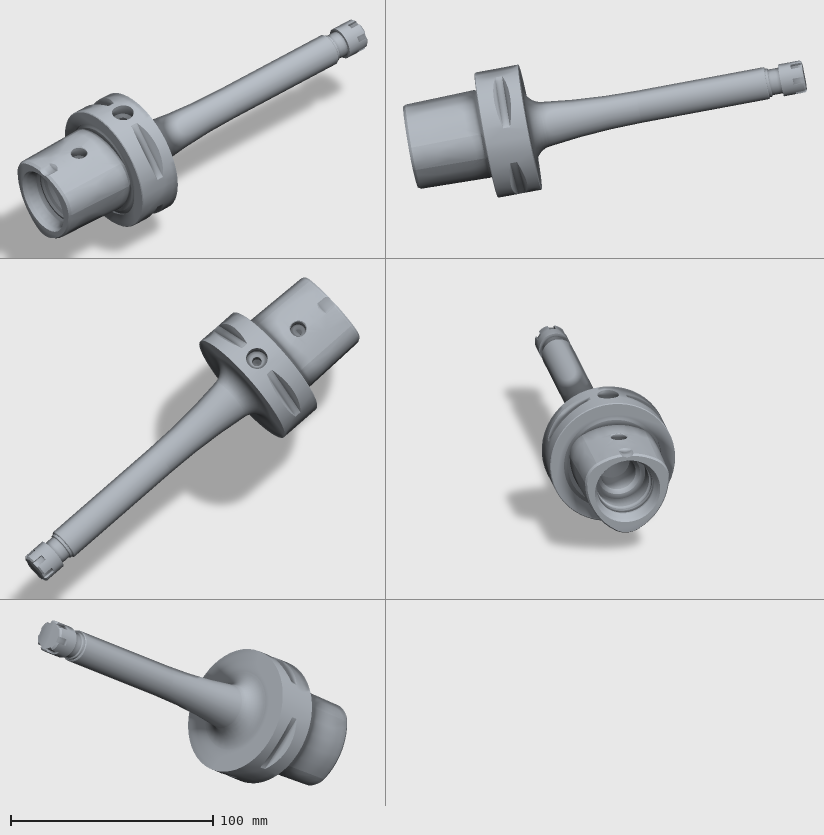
import cadquery as cq
import math


total_length = 198.0
taper_length = 38.0
nose_y = total_length - taper_length
flange_radius = 31.5
flange_length = 22.0
flange_chamfer = 0.4
shank_radius = 8.02
shank_end_y = 141.4
shank_chamfer = 0.4
flare_start_y = 76.8
flare_end_y = 29.7
flare_arc_radius = 350.0

neck_radius = 6.44
collar_radius = 7.1
collar_length = 1.5
collar_bevel = 0.4

taper_width = 44.2
taper_lobe_rise = 1.48
taper_slope = 1 / 40
lobe_angles = (30, 150, 270)
lobe_half_angle = 30
side_offset_angle = 60
lobe_spacing_angle = 120
end_chamfer_length = 1.4
end_chamfer_inset = 0.8
relief_inner_radius = 22.5
relief_outer_radius = 24.5
relief_length = 1.5
relief_inset = 0.5
relief_depth = 1.0

mouth_radius = 16.5
mouth_chamfer = 0.8
mouth_chamfer_length = 1.8
cone_length = 4.2
lip_radius = 14.3
undercut_radius = 15.2
lip_length = 1.2
undercut_length = 2.8
land_length = 1.5
bore_radius = 13.3
bore_bevel_length = 1.2
bore_length = 22.4
core_radius = 10.7
core_chamfer = 1.88
core_drill_radius = core_radius - core_chamfer
core_length = 39.6
drill_tip_angle = 118

taper_hole_radius = 4.0
taper_hole_chamfer = 0.5
taper_hole_floor_z = 14.5
taper_hole_y = -15.5
flange_hole_radius = 5.3
flange_hole_y = 12.0
flange_hole_depth = 5.7
pilot_hole_radius = 2.4
pilot_hole_depth = 4.0
notch_radius = 5.0
notch_floor_z = 18.2
notch_length = 6.5
notch_tip_length = 1.8

groove_count = 4
groove_floor_distance = 27.7
groove_floor_y = (10.3, 13.7)
groove_mouth_y = (8.1, 16.2)

nut_radius = 8.02
nut_length = 11.7
nut_chamfer = 0.8
nut_back_y = nose_y - nut_length
slot_count = 6
slot_width = 3.2
slot_length = 5.5
slot_floor_radius = 6.5
socket_depth = nut_length - slot_length


def turned(profile):
    """Solid of revolution about the Y axis from a closed (radius, y) profile."""
    return profile.close().revolve(360, (0, 0, 0), (0, 1, 0))


def drill_tip_length(radius):
    return radius / math.tan(math.radians(drill_tip_angle / 2))


def make_turned_body():
    flare_angle = math.asin((flare_start_y - flare_end_y) / flare_arc_radius)
    flare_end_radius = shank_radius + flare_arc_radius * (1 - math.cos(flare_angle))
    flare_mid_radius = shank_radius + flare_arc_radius * (1 - math.cos(flare_angle / 2))
    flare_mid_y = flare_start_y - flare_arc_radius * math.sin(flare_angle / 2)

    root_radius = (flare_end_y - flange_length) / (1 - math.sin(flare_angle))
    root_center_r = flare_end_radius + root_radius * math.cos(flare_angle)
    root_center_y = flange_length + root_radius
    root_mid_angle = (flare_angle + math.pi / 2) / 2
    root_mid = (
        root_center_r - root_radius * math.cos(root_mid_angle),
        root_center_y - root_radius * math.sin(root_mid_angle),
    )

    collar_y = shank_end_y + collar_length
    profile = (
        cq.Workplane("XY")
        .moveTo(0, 0)
        .lineTo(flange_radius - flange_chamfer, 0)
        .lineTo(flange_radius, flange_chamfer)
        .lineTo(flange_radius, flange_length)
        .lineTo(root_center_r, flange_length)
        .threePointArc(root_mid, (flare_end_radius, flare_end_y))
        .threePointArc((flare_mid_radius, flare_mid_y), (shank_radius, flare_start_y))
        .lineTo(shank_radius, shank_end_y - shank_chamfer)
        .lineTo(shank_radius - shank_chamfer, shank_end_y)
        .lineTo(collar_radius, shank_end_y)
        .lineTo(collar_radius, collar_y - collar_bevel)
        .lineTo(neck_radius, collar_y)
        .lineTo(neck_radius, nut_back_y + socket_depth)
        .lineTo(0, nut_back_y + socket_depth)
    )
    return turned(profile)


def polygon_outline(plane, inset):
    """Rounded triangle with one lobe at -Z: lobe arcs joined tangentially by flatter side arcs."""
    lobe_reach = taper_width / 2 + taper_lobe_rise - inset
    side_reach = taper_width / 2 - taper_lobe_rise - inset
    lobe_center = 2 * taper_lobe_rise / (2 - math.sqrt(3))
    lobe_radius = lobe_reach - lobe_center

    def polar(distance, degrees):
        angle = math.radians(degrees)
        return (distance * math.cos(angle), distance * math.sin(angle))

    def joint(lobe_angle, turn):
        center = polar(lobe_center, lobe_angle)
        arm = polar(lobe_radius, lobe_angle + turn)
        return (center[0] + arm[0], center[1] + arm[1])

    outline = plane.moveTo(*joint(lobe_angles[0], -lobe_half_angle))
    for lobe_angle in lobe_angles:
        lobe_tip = polar(lobe_reach, lobe_angle)
        side_middle = polar(side_reach, lobe_angle + side_offset_angle)
        next_lobe_start = joint(lobe_angle + lobe_spacing_angle, -lobe_half_angle)
        outline = outline.threePointArc(lobe_tip, joint(lobe_angle, lobe_half_angle))
        outline = outline.threePointArc(side_middle, next_lobe_start)
    return outline.close()


def make_taper():
    def frustum(start, length, start_inset, end_inset):
        base = polygon_outline(cq.Workplane("XZ").workplane(offset=start), start_inset)
        return polygon_outline(base.workplane(offset=length), end_inset).loft(ruled=True)

    flank_end = taper_length - end_chamfer_length
    start_inset = relief_length * taper_slope
    end_inset = flank_end * taper_slope
    neck = frustum(0, relief_length, relief_inset, start_inset)
    flank = frustum(relief_length, flank_end - relief_length, start_inset, end_inset)
    end = frustum(flank_end, end_chamfer_length, end_inset, end_inset + end_chamfer_inset)
    return neck.union(flank).union(end)


def make_relief():
    """Undercut that trims the lobes next to the flange and dips into its face."""
    return turned(
        cq.Workplane("XY")
        .moveTo(relief_inner_radius, -relief_length)
        .lineTo(relief_outer_radius, -relief_length)
        .lineTo(relief_outer_radius, relief_depth)
        .lineTo(relief_inner_radius, 0)
    )


def make_bore():
    """Conical mouth, an undercut, a bevelled bore and a drilled blind core."""
    mouth_y = -taper_length
    cone_start_y = mouth_y + mouth_chamfer_length
    cone_end_y = cone_start_y + cone_length
    undercut_start_y = cone_end_y + lip_length
    undercut_end_y = undercut_start_y + undercut_length
    land_end_y = undercut_end_y + land_length
    floor_y = mouth_y + bore_length
    core_end_y = mouth_y + core_length
    return turned(
        cq.Workplane("XY")
        .moveTo(0, mouth_y)
        .lineTo(mouth_radius, mouth_y)
        .lineTo(mouth_radius - mouth_chamfer, cone_start_y)
        .lineTo(lip_radius, cone_end_y)
        .lineTo(lip_radius, undercut_start_y)
        .lineTo(undercut_radius, undercut_start_y)
        .lineTo(undercut_radius, undercut_end_y)
        .lineTo(lip_radius, undercut_end_y)
        .lineTo(lip_radius, land_end_y)
        .lineTo(bore_radius, land_end_y + bore_bevel_length)
        .lineTo(bore_radius, floor_y)
        .lineTo(core_radius, floor_y)
        .lineTo(core_drill_radius, floor_y + core_chamfer)
        .lineTo(core_drill_radius, core_end_y)
        .lineTo(0, core_end_y + drill_tip_length(core_drill_radius))
    )


def drilled_hole(radius, y, floor_z):
    """Radial hole from the +Z side with a conical drill tip below floor_z."""
    profile = (
        cq.Workplane("XZ")
        .moveTo(0, floor_z - drill_tip_length(radius))
        .lineTo(radius, floor_z)
        .lineTo(radius, flange_radius)
        .lineTo(0, flange_radius)
        .close()
    )
    return profile.revolve(360, (0, 0, 0), (0, 1, 0)).translate((0, y, 0))


def make_taper_hole():
    rim_z = taper_width / 2 - taper_lobe_rise + taper_hole_y * taper_slope
    hole = drilled_hole(taper_hole_radius, taper_hole_y, taper_hole_floor_z)
    countersink = (
        cq.Workplane("XY", origin=(0, taper_hole_y, rim_z))
        .circle(taper_hole_radius + taper_hole_chamfer)
        .workplane(offset=-taper_hole_chamfer)
        .circle(taper_hole_radius)
        .loft()
    )
    return hole.union(countersink)


def make_flange_hole():
    floor_z = flange_radius - flange_hole_depth
    counterbore = (
        cq.Workplane("XY", origin=(0, flange_hole_y, floor_z))
        .circle(flange_hole_radius)
        .extrude(flange_hole_depth)
    )
    return counterbore.union(drilled_hole(pilot_hole_radius, flange_hole_y, floor_z - pilot_hole_depth))


def make_notch():
    """Round-bottomed notch with a conical inner end."""
    end_y = -taper_length
    cutter = turned(
        cq.Workplane("XY")
        .moveTo(0, end_y)
        .lineTo(notch_radius, end_y)
        .lineTo(notch_radius, end_y + notch_length)
        .lineTo(notch_radius - notch_tip_length, end_y + notch_length + notch_tip_length)
        .lineTo(0, end_y + notch_length + notch_tip_length)
    )
    return cutter.translate((0, 0, notch_floor_z + notch_radius))


def make_gripper_grooves():
    groove = (
        cq.Workplane("YZ")
        .moveTo(groove_floor_y[0], groove_floor_distance)
        .lineTo(groove_floor_y[1], groove_floor_distance)
        .lineTo(groove_mouth_y[1], flange_radius)
        .lineTo(groove_mouth_y[0], flange_radius)
        .close()
        .extrude(flange_radius, both=True)
    )
    grooves = cq.Workplane("XY")
    for index in range(groove_count):
        angle = 360 / groove_count * (index + 0.5)
        grooves = grooves.add(groove.rotate((0, 0, 0), (0, 1, 0), angle))
    return grooves.combine()


def make_holder():
    holder = make_turned_body().union(make_taper())
    holder = holder.cut(make_relief())
    holder = holder.cut(make_bore())
    holder = holder.cut(make_taper_hole())
    holder = holder.cut(make_flange_hole())
    holder = holder.cut(make_notch())
    return holder.cut(make_gripper_grooves())


def make_nut():
    nut = turned(
        cq.Workplane("XY")
        .moveTo(0, nut_back_y + socket_depth)
        .lineTo(neck_radius, nut_back_y + socket_depth)
        .lineTo(neck_radius, nut_back_y)
        .lineTo(nut_radius, nut_back_y)
        .lineTo(nut_radius, nose_y - nut_chamfer)
        .lineTo(nut_radius - nut_chamfer, nose_y)
        .lineTo(0, nose_y)
    )
    slot = cq.Workplane("XY").box(slot_width, slot_length, nut_radius, centered=(True, False, False))
    slot = slot.translate((0, nose_y - slot_length, slot_floor_radius))
    for index in range(slot_count):
        nut = nut.cut(slot.rotate((0, 0, 0), (0, 1, 0), 360 / slot_count * index))
    return nut


holder = make_holder()
nut = make_nut()
result = cq.Compound.makeCompound([holder.val(), nut.val()])